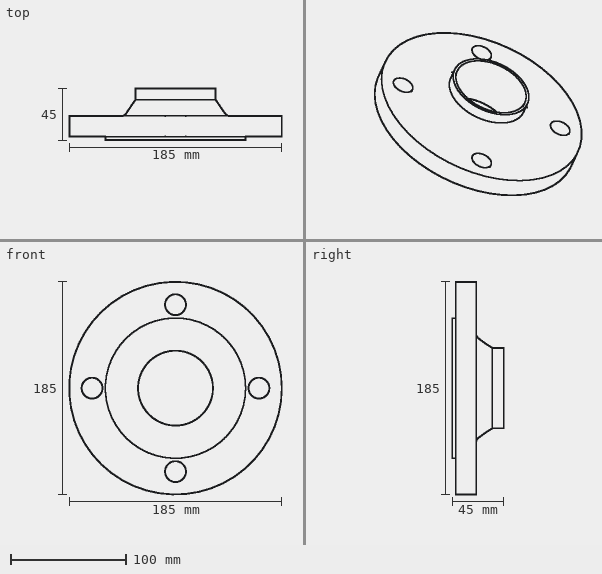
import cadquery as cq
import math

flange_diameter = 185.0
flange_thickness = 18.0
total_length = 45.0
face_diameter = 122.0
face_height = 3.0
bore_diameter = 65.0

neck_diameter = 70.0
neck_straight_length = 10.0
cone_base_diameter = 89.2
root_fillet_radius = 5.0

bolt_circle_diameter = 145.0
bolt_hole_diameter = 18.0
bolt_hole_count = 4

flange_back = face_height + flange_thickness
cone_end = total_length - neck_straight_length


def make_body():
    """Revolve the half section (radius, axial position) about the Y axis."""
    section = (
        cq.Workplane("XY")
        .moveTo(0, 0)
        .lineTo(face_diameter / 2, 0)
        .lineTo(face_diameter / 2, face_height)
        .lineTo(flange_diameter / 2, face_height)
        .lineTo(flange_diameter / 2, flange_back)
        .lineTo(cone_base_diameter / 2, flange_back)
        .lineTo(neck_diameter / 2, cone_end)
        .lineTo(neck_diameter / 2, total_length)
        .lineTo(0, total_length)
        .close()
    )
    return section.revolve(360, (0, 0, 0), (0, 1, 0))


def round_neck_root(body):
    """Fillet the inner corner where the cone meets the back of the flange."""
    reach = (cone_base_diameter + flange_diameter) / 4
    root_edge = cq.selectors.BoxSelector(
        (-reach, flange_back - root_fillet_radius, -reach),
        (reach, flange_back + root_fillet_radius, reach),
        boundingbox=True,
    )
    return body.edges(root_edge).edges("%CIRCLE").fillet(root_fillet_radius)


def axial_hole(diameter, x=0.0, z=0.0):
    """Cylinder along Y through the full length, centred at (x, z)."""
    plane = cq.Plane(origin=(x, 0, z), xDir=(1, 0, 0), normal=(0, 1, 0))
    return cq.Workplane(plane).circle(diameter / 2).extrude(total_length)


result = round_neck_root(make_body()).cut(axial_hole(bore_diameter))
for index in range(bolt_hole_count):
    angle = 2 * math.pi * index / bolt_hole_count
    x = bolt_circle_diameter / 2 * math.cos(angle)
    z = bolt_circle_diameter / 2 * math.sin(angle)
    result = result.cut(axial_hole(bolt_hole_diameter, x, z))